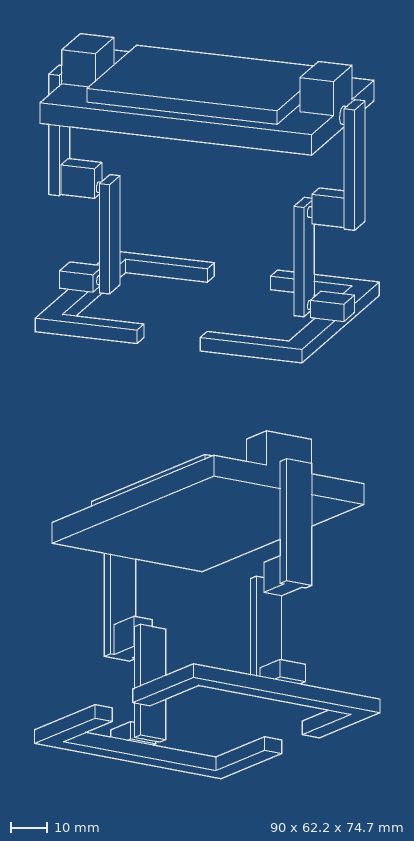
import cadquery as cq

table_length, table_width, table_thickness = 79.9, 50.0, 6.0
table_bottom = 58.8
table_top = table_bottom + table_thickness
panel_length, panel_width, panel_thickness = 56.0, 40.0, 4.0

block_length = 9.9
top_block_width, top_block_height = 15.0, 9.9
knee_block_width, knee_block_height = 6.0, 8.6
foot_block_height = 5.0

overall_length = 90
leg_width = 8.5
upper_leg_thickness, upper_leg_height = 3.15, 35.1
upper_leg_bottom = 30.9
lower_leg_thickness, lower_leg_height = 3.0, 31.9
pin_gap = 1.9

foot_length, foot_width, foot_thickness = 30.0, 62.2, 4.0
foot_outer_x = -39.2
foot_spine_width = 5.9
foot_arm_width = 5.8
foot_offset_y = 0.3

hip_pin_diameter, hip_pin_z = 5.0, 62.55
knee_pin_diameter, knee_pin_z = 3.0, 33.2
ankle_pin_diameter, ankle_pin_z = 2.5, 6.1

upper_leg_outer = -overall_length / 2
upper_leg_inner = upper_leg_outer + upper_leg_thickness
block_inner = upper_leg_inner + block_length
lower_leg_outer = block_inner + pin_gap
table_end = -table_length / 2


def box(x_start, z_start, length, width, height):
    """Box centred on Y, starting at the given X and Z."""
    return cq.Workplane("XY").box(length, width, height, centered=(False, True, False)).translate(
        (x_start, 0, z_start)
    )


def pin(x_start, x_end, z, diameter):
    """Pin along X between two faces."""
    return cq.Workplane("YZ", origin=(x_start, 0, z)).circle(diameter / 2).extrude(x_end - x_start)


def foot():
    plate = box(foot_outer_x, 0, foot_length, foot_width, foot_thickness)
    opening_width = foot_width - 2 * foot_arm_width
    opening = box(foot_outer_x + foot_spine_width, 0, foot_length, opening_width, foot_thickness)
    return plate.cut(opening).translate((0, foot_offset_y, 0))


def left_leg():
    """Complete leg, from the tabletop block down to the foot."""
    pieces = [
        box(table_end, table_top, block_length, top_block_width, top_block_height),
        pin(upper_leg_inner, table_end, hip_pin_z, hip_pin_diameter),
        box(upper_leg_outer, upper_leg_bottom, upper_leg_thickness, leg_width, upper_leg_height),
        box(upper_leg_inner, upper_leg_bottom, block_length, knee_block_width, knee_block_height),
        pin(block_inner, lower_leg_outer, knee_pin_z, knee_pin_diameter),
        box(lower_leg_outer, foot_thickness, lower_leg_thickness, leg_width, lower_leg_height),
        pin(block_inner, lower_leg_outer, ankle_pin_z, ankle_pin_diameter),
        box(upper_leg_inner, foot_thickness, block_length, leg_width, foot_block_height),
    ]
    leg = foot()
    for piece in pieces:
        leg = leg.union(piece)
    return leg


table = box(table_end, table_bottom, table_length, table_width, table_thickness)
panel = box(-panel_length / 2, table_top, panel_length, panel_width, panel_thickness)
leg = left_leg()
result = table.union(panel).union(leg).union(leg.mirror("YZ"))